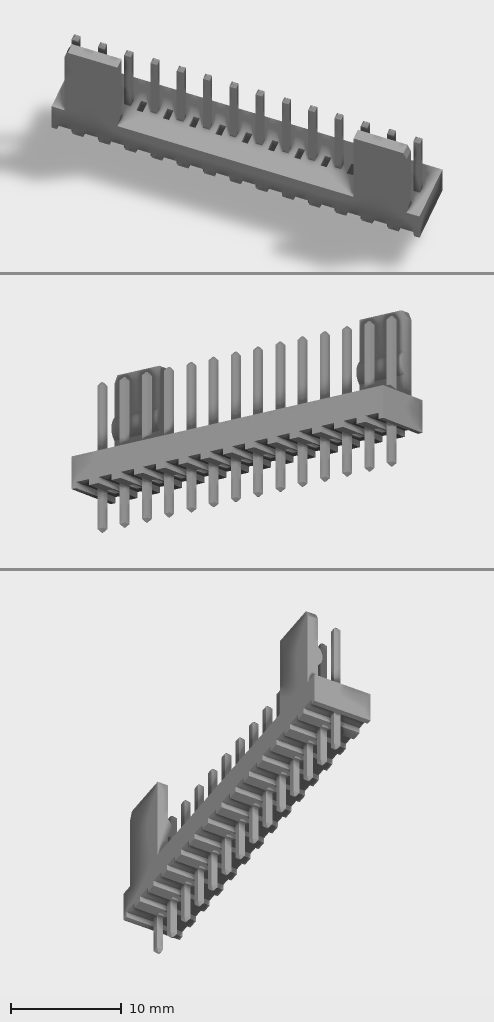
import cadquery as cq
import math

pin_count = 14
base_length = 35.55
base_depth = 5.8
base_height = 3.1
pitch = base_length / pin_count
pin_row_y = base_depth / 2

pin_width = 0.65
pin_below_base = 3.63
pin_above_base = 7.45
tip_height = 0.32
tip_width = 0.15

notch_width = 1.5
notch_height = 0.57

window_width = 0.6
window_depth = 1.17

wall_length = 5.12
wall_height = 8.55
wall_thickness = 1.05
wall_end_gap = 1.25
wall_corner_x = 0.32
wall_corner_z = 0.75
latch_projection = 0.45
latch_start = 2.4
latch_height = 2.2
root_radius = 0.43

pin_positions = [(index + 0.5) * pitch - base_length / 2 for index in range(pin_count)]
window_positions = [x + pitch / 2 for x in pin_positions[:-1]]


def box(length, depth, height, x, y, z):
    """Box centred on x and y, standing on height z."""
    return cq.Workplane("XY").box(length, depth, height, centered=(True, True, False)).translate((x, y, z))


def make_base():
    base = box(base_length, base_depth, base_height, 0, base_depth / 2, 0)
    for x in pin_positions:
        base = base.cut(box(notch_width, base_depth, notch_height, x, base_depth / 2, 0))
    for x in window_positions:
        base = base.cut(box(window_width, window_depth, base_height, x, pin_row_y, 0))
    return base


def make_pin(x):
    shank_length = pin_below_base + base_height + pin_above_base - 2 * tip_height
    shank = box(pin_width, pin_width, shank_length, x, pin_row_y, tip_height - pin_below_base)
    tip_taper = math.degrees(math.atan((pin_width - tip_width) / 2 / tip_height))
    pin = shank
    for end in (">Z", "<Z"):
        end_plane = shank.faces(end).workplane(centerOption="CenterOfMass")
        tip = end_plane.rect(pin_width, pin_width).extrude(tip_height, taper=tip_taper, combine=False)
        pin = pin.union(tip)
    return pin


def make_left_wall():
    outer_x = wall_end_gap - base_length / 2
    top_z = base_height + wall_height
    latch_bottom = base_height + latch_start
    latch_top = latch_bottom + latch_height
    latch_middle = (latch_bottom + latch_top) / 2
    fillet_reach = root_radius * (1 - math.cos(math.pi / 4))
    wall = (
        cq.Workplane("YZ", origin=(outer_x, 0, 0))
        .moveTo(0, base_height)
        .lineTo(wall_thickness + root_radius, base_height)
        .threePointArc(
            (wall_thickness + fillet_reach, base_height + fillet_reach),
            (wall_thickness, base_height + root_radius),
        )
        .lineTo(wall_thickness, latch_bottom)
        .threePointArc((wall_thickness + latch_projection, latch_middle), (wall_thickness, latch_top))
        .lineTo(wall_thickness, top_z)
        .lineTo(0, top_z)
        .close()
        .extrude(wall_length)
    )
    corner = (
        cq.Workplane("XZ")
        .moveTo(outer_x, top_z)
        .lineTo(outer_x + wall_corner_x, top_z)
        .lineTo(outer_x, top_z - wall_corner_z)
        .close()
        .extrude(-wall_thickness)
    )
    return wall.cut(corner)


left_wall = make_left_wall()
result = make_base().union(left_wall).union(left_wall.mirror("YZ"))
for pin_x in pin_positions:
    result = result.union(make_pin(pin_x))